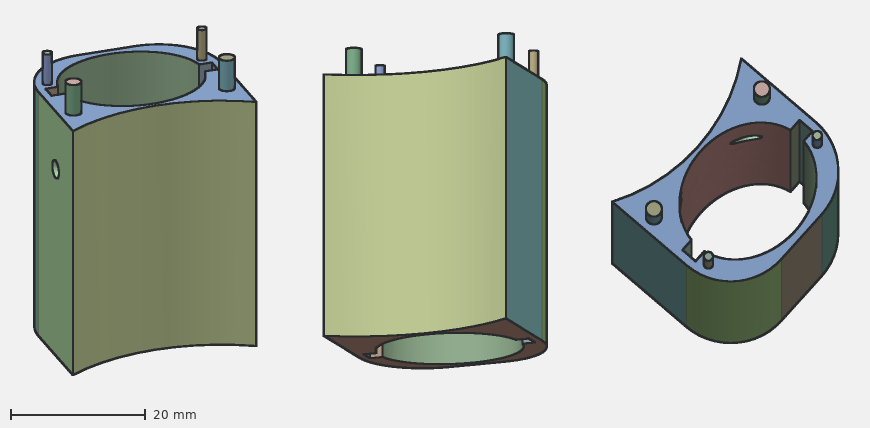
import cadquery as cq

total_height = 45.0
pin_height = 5.0
body_height = total_height - pin_height
body_length = 24.65
body_width = 29.05
half_width = body_width / 2
corner_radius = 10.0
saddle_depth = 4.05

bore_x = 10.58
bore_radius_x = 9.25
bore_radius_y = 11.25
slot_x = 10.65
slot_width = 2.55
slot_span = 26.32

small_pin_diameter = 1.4
small_pin_x = 7.65
small_pin_y = 12.25
large_pin_diameter = 2.4
large_pin_x = 18.5
large_pin_y = 12.15

side_hole_diameter = 2.8
side_hole_x = 17.32
side_hole_z = 30.5


def make_body():
    """Block with two rounded edges on one end and a concave opposite end."""
    block = (
        cq.Workplane("XY")
        .moveTo(0, -half_width)
        .lineTo(body_length, -half_width)
        .threePointArc((body_length - saddle_depth, 0), (body_length, half_width))
        .lineTo(0, half_width)
        .close()
        .extrude(body_height)
    )
    return block.edges("|Z and <X").fillet(corner_radius)


def make_bore():
    """Elliptical bore joined with one long slot that forms both keyways."""
    ellipse = cq.Workplane("XY").center(bore_x, 0).ellipse(bore_radius_x, bore_radius_y).extrude(body_height)
    slot = cq.Workplane("XY").center(slot_x, 0).rect(slot_width, slot_span).extrude(body_height)
    return ellipse.union(slot)


def make_side_hole():
    """Round hole from the -Y face to the middle of the bore."""
    return (
        cq.Workplane("XZ", origin=(side_hole_x, -half_width, side_hole_z))
        .circle(side_hole_diameter / 2)
        .extrude(-half_width)
    )


def make_pin_pair(x, y, diameter):
    """Two upright pins mirrored about the XZ plane."""
    return (
        cq.Workplane("XY", origin=(0, 0, body_height))
        .pushPoints([(x, -y), (x, y)])
        .circle(diameter / 2)
        .extrude(pin_height)
    )


result = (
    make_body()
    .cut(make_bore())
    .cut(make_side_hole())
    .union(make_pin_pair(small_pin_x, small_pin_y, small_pin_diameter))
    .union(make_pin_pair(large_pin_x, large_pin_y, large_pin_diameter))
)